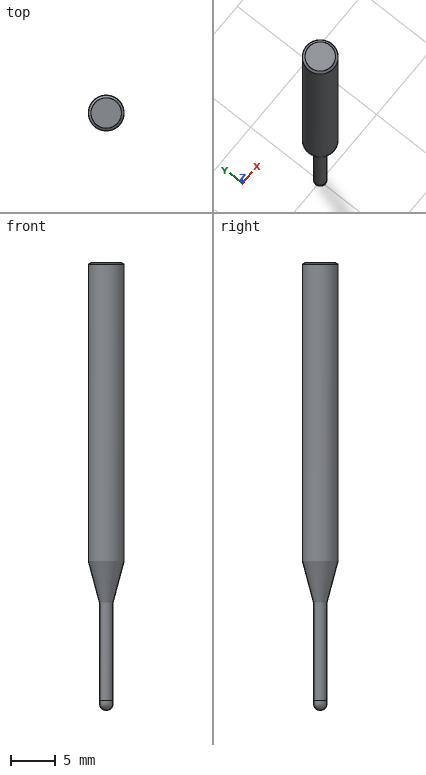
import cadquery as cq
import math

total_length = 50.0
shank_radius = 2.0
ball_radius = 0.75
neck_radius = ball_radius

tip_top = 1.1
neck_top = 12.0

taper_half_angle = 15.0
taper_height = (shank_radius - neck_radius) / math.tan(math.radians(taper_half_angle))
taper_top = neck_top + taper_height

chamfer_width = 0.3
chamfer_height = 0.2


def revolve_about_z(profile):
    """Turn a closed half profile, drawn in XZ, into a round solid about Z."""
    return profile.revolve(360, (0, 0, 0), (0, 1, 0))


def make_holder():
    """Neck, taper and chamfered shank, standing on the flat top of the tip."""
    profile = (
        cq.Workplane("XZ")
        .moveTo(0, tip_top)
        .lineTo(neck_radius, tip_top)
        .lineTo(neck_radius, neck_top)
        .lineTo(shank_radius, taper_top)
        .lineTo(shank_radius, total_length - chamfer_height)
        .lineTo(shank_radius - chamfer_width, total_length)
        .lineTo(0, total_length)
        .close()
    )
    return revolve_about_z(profile)


def make_ball_tip():
    """Hemisphere with a short cylindrical land above it."""
    arc_middle = ball_radius * math.sin(math.radians(45))
    profile = (
        cq.Workplane("XZ")
        .moveTo(0, 0)
        .threePointArc((arc_middle, ball_radius - arc_middle), (ball_radius, ball_radius))
        .lineTo(ball_radius, tip_top)
        .lineTo(0, tip_top)
        .close()
    )
    return revolve_about_z(profile)


holder = make_holder()
ball_tip = make_ball_tip()

result = cq.Compound.makeCompound([holder.val(), ball_tip.val()])